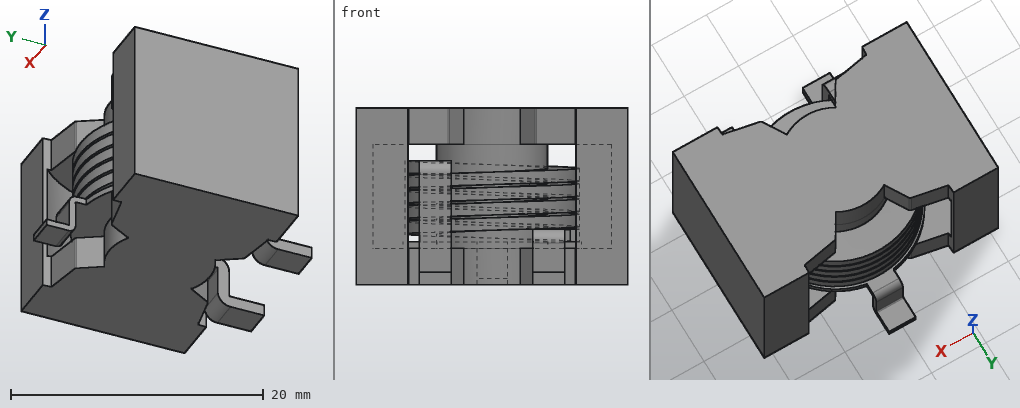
import cadquery as cq
import math

core_length = 21.5
core_depth = 14.23
core_height = 14.0
plate_thickness = 2.88
post_diameter = 8.8
post_seam_angle = 45
window_radius = 9.45

notch_mouth_x = 6.65
notch_shoulder_x = 6.6
notch_side_depth = 0.73
notch_corner_x = 3.42
notch_corner_y = 5.78
notch_neck_x = 2.24
notch_corner_radius = 0.22

coil_diameter = 13.8
wire_thickness = 0.99
coil_pitch = 1.2
coil_turns = 4.5
coil_overlap = 0.22

lead_width = 2.52
lead_center_x = 4.5
lead_face_y = 7.55
lead_foot_end_y = 10.6
bend_inner_radius = 0.09
start_tail_x = 6.17
start_tail_y = 5.38
start_tail_drop = 0.06

sheet_thickness = 0.54
tap_radius = 7.05
tap_start_y = 0.43
tap_width = 2.45
tap_face_y = 8.43
tap_foot_end_y = 10.4

post_radius = post_diameter / 2
coil_radius = coil_diameter / 2
half_depth = core_depth / 2
window_height = core_height - 2 * plate_thickness
coil_base_z = plate_thickness + sheet_thickness
coil_rise = coil_pitch * coil_turns


def notch(side):
    """Full-height cutter for one notch; side is +1 for the back, -1 for the front."""
    neck_y = side * math.sqrt(post_radius**2 - notch_neck_x**2)
    shoulder_y = side * (half_depth - notch_side_depth)
    corner_y = side * notch_corner_y
    open_y = side * half_depth
    return (
        cq.Workplane("XY")
        .moveTo(-notch_mouth_x, open_y)
        .lineTo(-notch_shoulder_x, shoulder_y)
        .lineTo(-notch_corner_x, corner_y)
        .lineTo(-notch_neck_x, neck_y)
        .threePointArc((0, side * post_radius), (notch_neck_x, neck_y))
        .lineTo(notch_corner_x, corner_y)
        .lineTo(notch_shoulder_x, shoulder_y)
        .lineTo(notch_mouth_x, open_y)
        .close()
        .extrude(core_height)
    )


def make_frame():
    """Both plates and both legs of the core, without the post."""
    core = cq.Workplane("XY").box(core_length, core_depth, core_height, centered=(True, True, False))
    core = core.cut(notch(1)).cut(notch(-1))
    for x in (-notch_corner_x, notch_corner_x):
        for y in (-notch_corner_y, notch_corner_y):
            corner = cq.selectors.NearestToPointSelector((x, y, core_height / 2))
            core = core.edges("|Z").edges(corner).fillet(notch_corner_radius)
    window = cq.Workplane("XY", origin=(0, 0, plate_thickness)).circle(window_radius).extrude(window_height)
    return core.cut(window)


def make_post():
    """Round post between the plates, turned so that its seam is clear of the coil start."""
    plane = cq.Workplane("XY", origin=(0, 0, plate_thickness))
    return plane.circle(post_radius).extrude(window_height).rotate((0, 0, 0), (0, 0, 1), post_seam_angle)


def make_coil():
    """Flat wire rising counter-clockwise from +X to -X, its inner edge sunk into the post."""
    inner_radius = post_radius - coil_overlap
    profile_x = (inner_radius + coil_radius) / 2
    path = cq.Wire.makeHelix(coil_pitch, coil_rise, profile_x)
    coil = (
        cq.Workplane("XZ")
        .center(profile_x, wire_thickness / 2)
        .rect(coil_radius - inner_radius, wire_thickness)
        .sweep(cq.Workplane(obj=path), isFrenet=True)
    )
    return coil.translate((0, 0, coil_base_z))


def bent_lead(start, face, foot_end, top_z, thickness, width):
    """Z-shaped strip running along +Y: flat at top_z, down at the face, then a foot at Z = 0."""
    outline = [
        (start, top_z),
        (face, top_z),
        (face, thickness),
        (foot_end, thickness),
        (foot_end, 0),
        (face - thickness, 0),
        (face - thickness, top_z - thickness),
        (start, top_z - thickness),
    ]
    lead = cq.Workplane("YZ").polyline(outline).close().extrude(width / 2, both=True)

    outer_radius = bend_inner_radius + thickness
    bends = (
        (outline[2], bend_inner_radius),
        (outline[6], bend_inner_radius),
        (outline[1], outer_radius),
        (outline[5], outer_radius),
    )
    for (y, z), radius in bends:
        corner = cq.selectors.NearestToPointSelector((0, y, z))
        lead = lead.edges("|X").edges(corner).fillet(radius)
    return lead


def front_lead(side, base_z):
    """Front lead with its underside at base_z; side is the sign of X."""
    lead = bent_lead(0, lead_face_y, lead_foot_end_y, base_z + wire_thickness, wire_thickness, lead_width)
    return lead.rotate((0, 0, 0), (0, 0, 1), 180).translate((side * lead_center_x, 0, 0))


def make_start_lead():
    """Lower lead at +X, with a straight tail of the coil along its outer side."""
    tail = cq.Workplane("XY").box(
        start_tail_x - lead_center_x,
        start_tail_y,
        wire_thickness - start_tail_drop,
        centered=False,
    )
    tail = tail.translate((lead_center_x, -start_tail_y, coil_base_z))
    return front_lead(1, coil_base_z).union(tail)


def make_end_lead():
    """Upper lead at -X, with a flat round tail that carries the coil edge on to the lead."""
    base_z = coil_base_z + coil_rise
    tail_end_y = -math.sqrt(coil_radius**2 - lead_center_x**2)
    tail_middle_angle = math.pi + math.asin(-tail_end_y / coil_radius) / 2
    tail_middle = (coil_radius * math.cos(tail_middle_angle), coil_radius * math.sin(tail_middle_angle))
    tail = (
        cq.Workplane("XY", origin=(0, 0, base_z))
        .moveTo(-lead_center_x, 0)
        .lineTo(-coil_radius, 0)
        .threePointArc(tail_middle, (-lead_center_x, tail_end_y))
        .close()
        .extrude(wire_thickness)
    )
    return front_lead(-1, base_z).union(tail)


def make_tap():
    start_x = math.sqrt(tap_radius**2 - tap_start_y**2)
    disc = (
        cq.Workplane("XY", origin=(0, 0, plate_thickness))
        .moveTo(start_x, tap_start_y)
        .threePointArc((0, tap_radius), (-start_x, tap_start_y))
        .close()
        .extrude(sheet_thickness)
    )
    lead = bent_lead(post_radius, tap_face_y, tap_foot_end_y, coil_base_z, sheet_thickness, tap_width)
    return disc.union(lead)


winding = (
    make_coil()
    .union(make_post())
    .union(make_start_lead())
    .union(make_end_lead())
    .union(make_tap())
)
result = make_frame().union(winding)